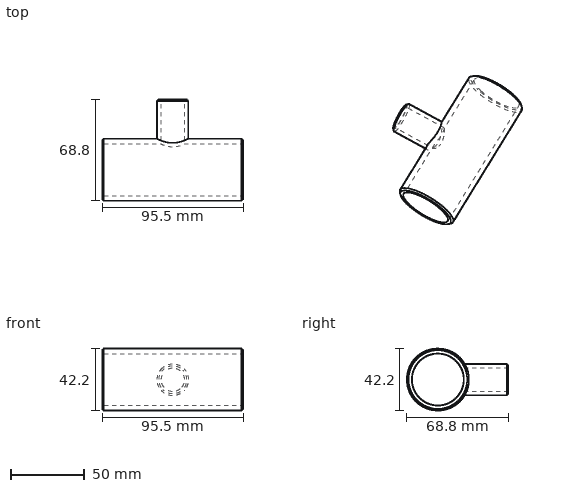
import cadquery as cq

run_length = 95.5
run_outer_diameter = 42.16
run_bore_diameter = 35.05
branch_outer_diameter = 21.34
branch_bore_diameter = 15.8
branch_reach = run_length / 2
end_chamfer = 1.2


def run_cylinder(diameter):
    """Cylinder along X, centred on the origin, as long as the run."""
    return cq.Workplane("YZ").circle(diameter / 2).extrude(run_length / 2, both=True)


def branch_cylinder(diameter):
    """Cylinder along +Y, from the run axis to the branch end."""
    return cq.Workplane("XZ").circle(diameter / 2).extrude(-branch_reach)


run_body = run_cylinder(run_outer_diameter).faces("<X or >X").chamfer(end_chamfer)
branch_body = branch_cylinder(branch_outer_diameter).faces(">Y").chamfer(end_chamfer)

tee_body = run_body.union(branch_body)
result = tee_body.cut(run_cylinder(run_bore_diameter)).cut(branch_cylinder(branch_bore_diameter))